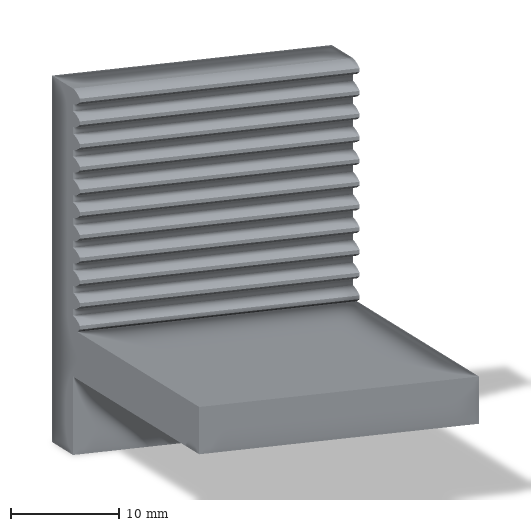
import cadquery as cq

LENGTH = 35.0
WIDTH = 28.0
HEIGHT = 35.0

WALL_THICKNESS = 5.0
SHELF_BOTTOM = 7.5
SHELF_THICKNESS = 4.5

TOOTH_COUNT = 11
TOOTH_PITCH = 2.17
TOOTH_DEPTH = 1.6
ROOT_HEIGHT = 1.5
TIP_HEIGHT = 0.35
FLANK_MID_HEIGHT = 1.15


def block(length, height, bottom):
    """Full-width block starting at the back face of the wall."""
    return cq.Workplane("XY").box(length, WIDTH, height, centered=False).translate((0, 0, bottom))


def tooth(center_z):
    """Full-width tooth with bulging flanks and a narrow flat tip."""
    root_x = WALL_THICKNESS
    mid_x = root_x + TOOTH_DEPTH / 2
    tip_x = root_x + TOOTH_DEPTH
    return (
        cq.Workplane("XZ")
        .moveTo(root_x, center_z - ROOT_HEIGHT / 2)
        .threePointArc((mid_x, center_z - FLANK_MID_HEIGHT / 2), (tip_x, center_z - TIP_HEIGHT / 2))
        .lineTo(tip_x, center_z + TIP_HEIGHT / 2)
        .threePointArc((mid_x, center_z + FLANK_MID_HEIGHT / 2), (root_x, center_z + ROOT_HEIGHT / 2))
        .close()
        .extrude(-WIDTH)
    )


wall = block(WALL_THICKNESS, HEIGHT, 0)
shelf = block(LENGTH, SHELF_THICKNESS, SHELF_BOTTOM)
result = wall.union(shelf)

top_tooth_z = HEIGHT - ROOT_HEIGHT / 2
for index in range(TOOTH_COUNT):
    result = result.union(tooth(top_tooth_z - index * TOOTH_PITCH))